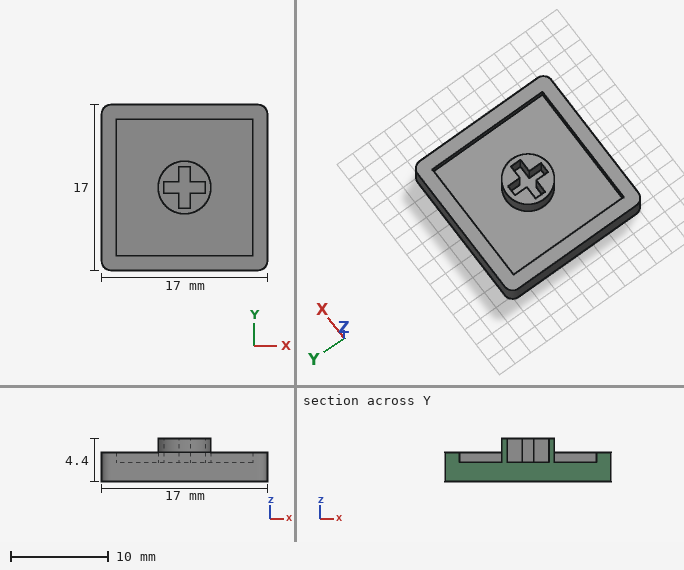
import cadquery as cq

plate_side = 17.0
plate_height = 3.0
corner_radius = 1.0

recess_side = 14.0
recess_depth = 1.0

total_height = 4.4
stem_diameter = 5.4

cross_length_x = 4.25
cross_length_y = 4.2
cross_arm_width = 1.2

recess_floor = plate_height - recess_depth
stem_height = total_height - recess_floor
socket_depth = stem_height


def make_tray():
    plate = (
        cq.Workplane("XY")
        .rect(plate_side, plate_side)
        .extrude(plate_height)
        .edges("|Z")
        .fillet(corner_radius)
    )
    recess = (
        cq.Workplane("XY")
        .workplane(offset=recess_floor)
        .rect(recess_side, recess_side)
        .extrude(recess_depth)
    )
    return plate.cut(recess)


def make_stem():
    return (
        cq.Workplane("XY")
        .workplane(offset=recess_floor)
        .circle(stem_diameter / 2)
        .extrude(stem_height)
    )


def make_socket():
    base = cq.Workplane("XY").workplane(offset=total_height - socket_depth)
    arm_x = base.rect(cross_length_x, cross_arm_width).extrude(socket_depth)
    arm_y = base.rect(cross_arm_width, cross_length_y).extrude(socket_depth)
    return arm_x.union(arm_y)


result = make_tray().union(make_stem()).cut(make_socket())